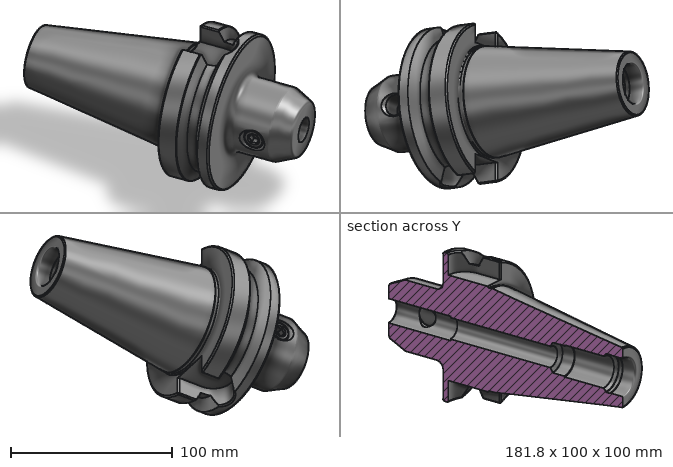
import cadquery as cq
import math

total_length = 181.8
gauge_x = 101.8
taper_ratio = 7 / 24
taper_small_diameter = 40.2
taper_end_chamfer = 0.7
neck_diameter = 69.3
neck_chamfer_length = 0.5

land_diameter = 99.3
flange_diameter = 100.0
flange_front_x = 104.9
flange_back_x = 139.8
groove_diameter = 84.9
groove_start_x = 121.8
groove_end_x = 128.0
groove_wall_angle = 60
edge_break = 1.0
land_rear_break = 0.4
flange_rear_break = 1.0
neck_fillet = 0.9

slot_width = 25.6
slot_end_x = 135.3
slot_floor_z = 35.5

nose_diameter = 48.0
nose_cone_start_x = 168.9
nose_cone_angle = 25
nose_root_fillet = 4.9
nose_edge_fillet = 2.5

entry_diameter = 25.0
entry_fillet = 1.3
entry_depth = 13.0
undercut_diameter = 25.6
undercut_start_x = 10.0
thread_diameter = 21.0
thread_depth = 45.5
drill_diameter = 20.0
drill_depth = 54.5
drill_point_angle = 60
through_diameter = 14.0
tool_bore_diameter = 16.0
tool_bore_depth = 48.0

screw_x = 157.6
screw_diameter = 12.9
screw_face_diameter = 11.8
countersink_diameter = 17.0
socket_across_flats = 6.0
socket_rim_diameter = 8.0
socket_depth = 5.0
socket_point_angle = 30

land_radius = land_diameter / 2
flange_radius = flange_diameter / 2
nose_radius = nose_diameter / 2
screw_radius = screw_diameter / 2
countersink_depth = (countersink_diameter - screw_diameter) / 2
screw_face_y = -(nose_radius - countersink_depth)
screw_tip_y = -tool_bore_diameter / 2


def outer_shape():
    """Taper, flange and nose turned in one profile, with rounded nose edges."""
    taper_end_x = gauge_x - neck_chamfer_length
    small_radius = taper_small_diameter / 2
    groove_radius = groove_diameter / 2
    wall_slope = math.tan(math.radians(groove_wall_angle))
    land_end_x = groove_start_x - (land_radius - groove_radius) / wall_slope
    flange_start_x = groove_end_x + (flange_radius - groove_radius) / wall_slope
    nose_drop = (total_length - nose_cone_start_x) * math.tan(math.radians(nose_cone_angle))
    neck_radius = neck_diameter / 2

    profile = (
        cq.Workplane("XY")
        .moveTo(0, 0)
        .lineTo(0, small_radius - taper_end_chamfer)
        .lineTo(taper_end_chamfer, small_radius + taper_end_chamfer * taper_ratio / 2)
        .lineTo(taper_end_x, small_radius + taper_end_x * taper_ratio / 2)
        .lineTo(gauge_x, neck_radius)
        .lineTo(flange_front_x - neck_fillet, neck_radius)
        .radiusArc((flange_front_x, neck_radius + neck_fillet), -neck_fillet)
        .lineTo(flange_front_x, land_radius)
        .lineTo(land_end_x - land_rear_break, land_radius)
        .lineTo(land_end_x + land_rear_break / 2, land_radius - land_rear_break * wall_slope / 2)
        .lineTo(groove_start_x, groove_radius)
        .lineTo(groove_end_x, groove_radius)
        .lineTo(flange_start_x, flange_radius)
        .lineTo(flange_back_x - flange_rear_break, flange_radius)
        .lineTo(flange_back_x, flange_radius - flange_rear_break)
        .lineTo(flange_back_x, nose_radius + nose_root_fillet)
        .radiusArc((flange_back_x + nose_root_fillet, nose_radius), -nose_root_fillet)
        .lineTo(nose_cone_start_x, nose_radius)
        .lineTo(total_length, nose_radius - nose_drop)
        .lineTo(total_length, 0)
        .close()
    )
    body = profile.revolve(360, (0, 0, 0), (1, 0, 0))
    cone_edges = body.faces("%CONE").faces(">X").edges("%CIRCLE")
    return body.newObject(cone_edges.vals()).fillet(nose_edge_fillet)


def cut_drive_slots(body):
    """Two opposite round-ended slots across the land, groove and flange."""
    slot_start_x = gauge_x
    slot_radius = slot_width / 2
    arc_center_x = slot_end_x - slot_radius
    for side in (1, -1):
        slot = (
            cq.Workplane("XY", origin=(0, 0, side * slot_floor_z))
            .moveTo(slot_start_x, -slot_radius)
            .lineTo(arc_center_x, -slot_radius)
            .threePointArc((slot_end_x, 0), (arc_center_x, slot_radius))
            .lineTo(slot_start_x, slot_radius)
            .close()
            .extrude(side * flange_radius)
        )
        body = body.cut(slot)
    return body


def edges_in_box(body, lower, upper):
    """Edges whose center lies in the box between two corners."""
    return body.edges(cq.selectors.BoxSelector(lower, upper))


def break_flange_edges(body):
    """Chamfer the front rim of the land and the outer edges of the drive slots."""
    slack = 0.2
    reach = flange_radius
    slot_radius = slot_width / 2
    groove_radius = groove_diameter / 2
    sharp_edges = []
    for side in (1, -1):
        front_edges = edges_in_box(
            body,
            (flange_front_x - slack, side * (slot_radius - slack), -reach),
            (flange_front_x + slack, side * reach, reach),
        )
        wall_edges = edges_in_box(
            body,
            (flange_front_x, -slot_radius - slack, side * groove_radius),
            (groove_start_x, slot_radius + slack, side * reach),
        ).edges("|X")
        end_edges = edges_in_box(
            body,
            (slot_end_x - slot_radius, -slack, side * groove_radius),
            (slot_end_x, slack, side * reach),
        )
        sharp_edges += front_edges.vals() + wall_edges.vals() + end_edges.vals()
    return body.newObject(sharp_edges).chamfer(edge_break)


def bore():
    """Stepped bore along the axis."""
    entry_radius = entry_diameter / 2
    undercut_radius = undercut_diameter / 2
    thread_radius = thread_diameter / 2
    drill_radius = drill_diameter / 2
    through_radius = through_diameter / 2
    tool_radius = tool_bore_diameter / 2
    seat_end_x = entry_depth + entry_radius - thread_radius
    point_length = (drill_radius - through_radius) / math.tan(math.radians(drill_point_angle))
    tool_bore_x = total_length - tool_bore_depth
    return (
        cq.Workplane("XY")
        .moveTo(0, 0)
        .lineTo(0, entry_radius + entry_fillet)
        .radiusArc((entry_fillet, entry_radius), -entry_fillet)
        .lineTo(undercut_start_x, entry_radius)
        .lineTo(undercut_start_x, undercut_radius)
        .lineTo(entry_depth, undercut_radius)
        .lineTo(entry_depth, entry_radius)
        .lineTo(seat_end_x, thread_radius)
        .lineTo(thread_depth, thread_radius)
        .lineTo(thread_depth, drill_radius)
        .lineTo(drill_depth, drill_radius)
        .lineTo(drill_depth + point_length, through_radius)
        .lineTo(tool_bore_x, through_radius)
        .lineTo(tool_bore_x, tool_radius)
        .lineTo(total_length, tool_radius)
        .lineTo(total_length, 0)
        .close()
        .revolve(360, (0, 0, 0), (1, 0, 0))
    )


def turned_about_screw(points):
    """Solid of revolution about the cross hole axis from (radius, y) points."""
    placed = [(screw_x + radius, y) for radius, y in points]
    return cq.Workplane("XY").polyline(placed).close().revolve(360, (screw_x, 0, 0), (screw_x, 1, 0))


def cross_hole():
    """Screw hole across the whole nose, countersunk at both ends."""
    rim_radius = countersink_diameter / 2
    seat_y = nose_radius - countersink_depth
    return turned_about_screw([
        (0, -nose_radius),
        (rim_radius, -nose_radius),
        (screw_radius, -seat_y),
        (screw_radius, seat_y),
        (rim_radius, nose_radius),
        (0, nose_radius),
    ])


def make_holder():
    """Tool holder with its slots, bore and screw hole."""
    body = break_flange_edges(cut_drive_slots(outer_shape()))
    return body.cut(bore()).cut(cross_hole())


def make_clamp_screw():
    """Grub screw with a hexagon socket, reaching to the wall of the tool bore."""
    face_radius = screw_face_diameter / 2
    blank = turned_about_screw([
        (0, screw_face_y),
        (face_radius, screw_face_y),
        (screw_radius, screw_face_y + screw_radius - face_radius),
        (screw_radius, screw_tip_y),
        (0, screw_tip_y),
    ])
    socket_corners = socket_across_flats / math.cos(math.pi / 6)
    socket = (
        cq.Workplane("XZ", origin=(screw_x, screw_face_y, 0))
        .polygon(6, socket_corners)
        .extrude(-socket_depth)
    )
    rim_radius = socket_rim_diameter / 2
    socket_rim = turned_about_screw([
        (0, screw_face_y),
        (rim_radius, screw_face_y),
        (0, screw_face_y + rim_radius),
    ])
    point_radius = socket_across_flats / 2
    point_drop = point_radius * math.tan(math.radians(socket_point_angle))
    socket_bottom_y = screw_face_y + socket_depth
    socket_point = turned_about_screw([
        (0, socket_bottom_y),
        (point_radius, socket_bottom_y),
        (0, socket_bottom_y + point_drop),
    ])
    return blank.cut(socket).cut(socket_rim).cut(socket_point)


holder = make_holder()
clamp_screw = make_clamp_screw()
result = cq.Compound.makeCompound([holder.solids().val(), clamp_screw.solids().val()])